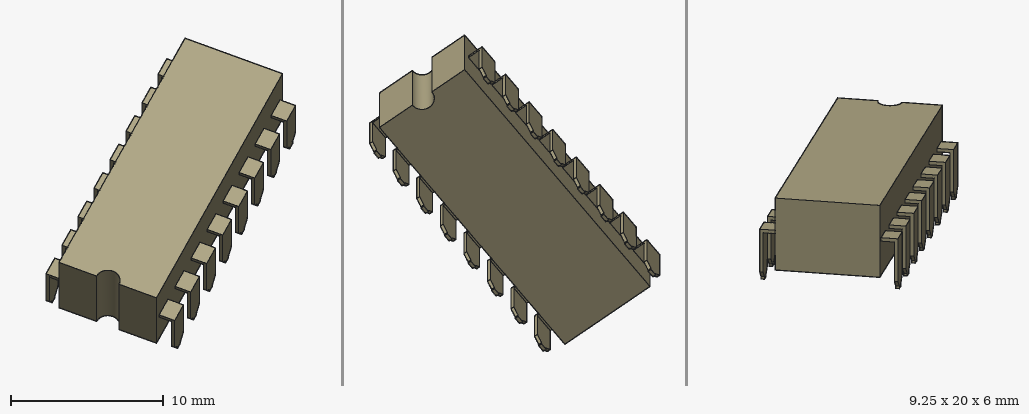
import cadquery as cq


body_width = 7.0
body_length = 20.0
body_height = 5.0
notch_radius = 0.8

pins_per_side = 8
pin_pitch = 2.55
pin_width = 1.4
pin_thickness = 0.25
pin_span = 9.25
pin_standoff = 1.0

tip_width = 0.5
tip_length = 0.18
taper_height = 0.48

pin_top = (body_height + pin_thickness) / 2
pin_bottom = -pin_standoff
taper_bottom = pin_bottom + tip_length
taper_top = taper_bottom + taper_height


def make_body():
    """Block resting on Z = 0, with a half-round notch down its -Y end."""
    block = cq.Workplane("XY").box(body_width, body_length, body_height, centered=(True, True, False))
    notch = cq.Workplane("XY").center(0, -body_length / 2).circle(notch_radius).extrude(body_height)
    return block.cut(notch)


def make_pin():
    """Bent pin on the +X side, centred on Y = 0."""
    outer_x = pin_span / 2
    inner_x = outer_x - pin_thickness
    arm_length = outer_x - body_width / 2

    arm = cq.Workplane("XY").box(arm_length, pin_width, pin_thickness, centered=(False, True, False))
    arm = arm.translate((body_width / 2, 0, pin_top - pin_thickness))

    half_pin = pin_width / 2
    half_tip = tip_width / 2
    leg = (
        cq.Workplane("YZ", origin=(inner_x, 0, 0))
        .moveTo(-half_pin, pin_top)
        .lineTo(-half_pin, taper_top)
        .lineTo(-half_tip, taper_bottom)
        .lineTo(-half_tip, pin_bottom)
        .lineTo(half_tip, pin_bottom)
        .lineTo(half_tip, taper_bottom)
        .lineTo(half_pin, taper_top)
        .lineTo(half_pin, pin_top)
        .close()
        .extrude(pin_thickness)
    )
    return arm.union(leg)


right_pin = make_pin()
left_pin = right_pin.mirror("YZ")
first_pin_y = -(pins_per_side - 1) * pin_pitch / 2

result = make_body()
for index in range(pins_per_side):
    pin_y = first_pin_y + index * pin_pitch
    for pin in (left_pin, right_pin):
        result = result.union(pin.translate((0, pin_y, 0)))